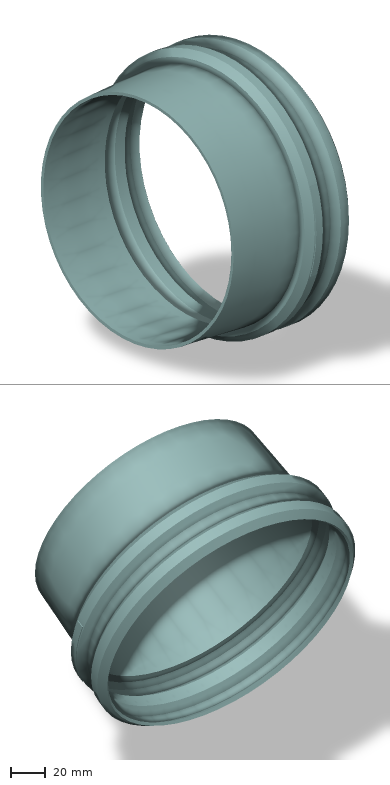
import cadquery as cq
import math


overall_width = 176.5
rib_diameter = 176.0
groove_diameter = 167.5
cone_wide_diameter = 159.5
cone_narrow_diameter = 154.3
total_length = 89.0
wall = 2.0
rib_flat = 6.7
groove_width = 6.5

pad_width = 5.3
pad_angle = 37.0
pad_embed = 0.9

rib_radius = rib_diameter / 2
groove_radius = groove_diameter / 2
flank = rib_radius - groove_radius
rib_length = rib_flat + 2 * flank
second_rib_y = -(rib_length + groove_width)
pad_radius = overall_width - rib_radius


def rib_outline(start_y):
    """Outer corners of one rib that begins at start_y and runs toward -Y."""
    return [
        (groove_radius, start_y),
        (rib_radius, start_y - flank),
        (rib_radius, start_y - flank - rib_flat),
        (groove_radius, start_y - rib_length),
    ]


def inset(points, distance):
    """Shift an open polyline to the right of its travel, with mitred corners."""
    normals = []
    for (r0, y0), (r1, y1) in zip(points, points[1:]):
        length = math.hypot(r1 - r0, y1 - y0)
        normals.append(((y1 - y0) / length, (r0 - r1) / length))
    before = normals[:1] + normals
    after = normals + normals[-1:]
    shifted = []
    for (r, y), (ar, ay), (br, by) in zip(points, before, after):
        scale = distance / (1 + ar * br + ay * by)
        shifted.append((r + scale * (ar + br), y + scale * (ay + by)))
    return shifted


def make_sleeve():
    """Two ribs with a groove between them, a shoulder and the tapered spigot."""
    outer = rib_outline(0) + rib_outline(second_rib_y)
    outer += [
        (cone_wide_diameter / 2, second_rib_y - rib_length),
        (cone_narrow_diameter / 2, -total_length),
    ]
    inner = inset(outer, wall)
    profile = cq.Workplane("XY").polyline(outer + inner[::-1]).close()
    return profile.revolve(360, (0, 0, 0), (0, 1, 0))


def make_label_pad():
    """Low curved pad, centred on the second rib's crest and on the +X axis."""
    pad_center_y = second_rib_y - rib_length / 2
    inner_radius = rib_radius - pad_embed
    section = (
        cq.Workplane("XY")
        .center((inner_radius + pad_radius) / 2, pad_center_y)
        .rect(pad_radius - inner_radius, pad_width)
    )
    axis_x = -(inner_radius + pad_radius) / 2
    pad = section.revolve(pad_angle, (axis_x, 0, 0), (axis_x, 1, 0))
    return pad.rotate((0, 0, 0), (0, 1, 0), -pad_angle / 2)


result = make_sleeve().union(make_label_pad())